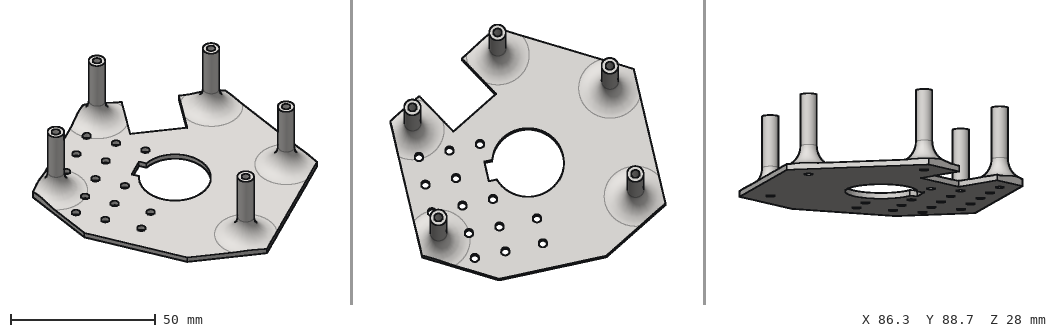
import cadquery as cq
import math

plate_width = 86.3
plate_length = 88.7
plate_thickness = 2.0
apothem = plate_width / 2
corner_radius = apothem / math.cos(math.radians(30))
flat_edge_y = corner_radius - plate_length
flat_edge_half = (corner_radius + flat_edge_y) * math.tan(math.radians(60))

bore_diameter = 24.8
notch_reach = 14.6
notch_width = 7.3

slot_angle = 120
slot_width = 20.0
slot_floor_distance = 25.7
slot_side_offset = 1.3

overall_height = 28.0
post_diameter = 5.8
flare_radius = 8.0
hole_diameter = 2.9

column_pitch = 10.8
first_column_x = -36.35
second_column_x = first_column_x + column_pitch
third_column_x = second_column_x + column_pitch
last_column_x = -1.4
row_pitch = 10.2
last_row_y = -29.6

right_post_x = 33.5
right_post_y = 20.0
top_post = (-1.7, 40.35)

post_points = [
    (first_column_x, 2 * row_pitch),
    (first_column_x, -2 * row_pitch),
    (right_post_x, right_post_y),
    (right_post_x, -right_post_y),
    top_post,
]
rows_by_column = [
    (first_column_x, [row_pitch, 0, -row_pitch]),
    (second_column_x, [row_pitch, 0, -row_pitch, -2 * row_pitch, last_row_y]),
    (third_column_x, [row_pitch, -row_pitch, -2 * row_pitch, last_row_y]),
    (last_column_x, [-2 * row_pitch, last_row_y]),
]
grid_points = [(x, y) for x, rows in rows_by_column for y in rows]


def make_outline(height):
    """Prism over the plate outline, including the open slot."""
    side_corner_y = corner_radius / 2
    outline = [
        (0, corner_radius),
        (apothem, side_corner_y),
        (apothem, -side_corner_y),
        (flat_edge_half, flat_edge_y),
        (-flat_edge_half, flat_edge_y),
        (-apothem, -side_corner_y),
        (-apothem, side_corner_y),
    ]
    slot = (
        cq.Workplane("XY")
        .center(0, slot_side_offset)
        .rect(corner_radius - slot_floor_distance, slot_width)
        .extrude(height)
        .translate(((corner_radius + slot_floor_distance) / 2, 0, 0))
        .rotate((0, 0, 0), (0, 0, 1), slot_angle)
    )
    return cq.Workplane("XY").polyline(outline).close().extrude(height).cut(slot)


def make_post(point):
    """Post standing on the plate, its foot flared by a concave quarter arc."""
    radius = post_diameter / 2
    foot_radius = radius + flare_radius
    flare_top = plate_thickness + flare_radius
    arc_offset = flare_radius * math.sqrt(0.5)
    arc_middle = (foot_radius - arc_offset, flare_top - arc_offset)
    return (
        cq.Workplane("XZ")
        .lineTo(foot_radius, 0)
        .lineTo(foot_radius, plate_thickness)
        .threePointArc(arc_middle, (radius, flare_top))
        .lineTo(radius, overall_height)
        .lineTo(0, overall_height)
        .close()
        .revolve(360, (0, 0), (0, 1))
        .translate((point[0], point[1], 0))
    )


def make_bore():
    """Round bore joined with its side notch."""
    notch = (
        cq.Workplane("XY")
        .center(-notch_reach / 2, 0)
        .rect(notch_reach, notch_width)
        .extrude(plate_thickness)
    )
    return cq.Workplane("XY").circle(bore_diameter / 2).extrude(plate_thickness).union(notch)


result = make_outline(plate_thickness)
trim = make_outline(overall_height)
for post_point in post_points:
    result = result.union(make_post(post_point).intersect(trim))

result = result.cut(make_bore())
holes = (
    cq.Workplane("XY")
    .pushPoints(post_points + grid_points)
    .circle(hole_diameter / 2)
    .extrude(overall_height)
)
result = result.cut(holes)